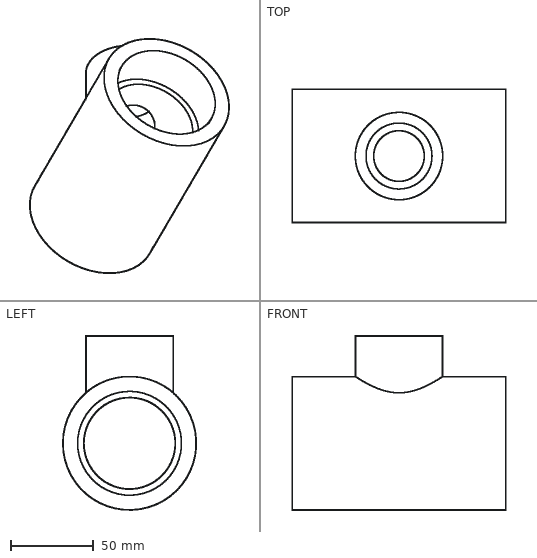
import cadquery as cq

run_length = 129.5
run_outer_diameter = 81.0
run_socket_diameter = 63.0
run_bore_diameter = 55.3
run_socket_depth = 29.0

overall_height = 105.5
branch_outer_diameter = 53.0
branch_socket_diameter = 40.0
branch_bore_diameter = 30.7
branch_socket_depth = 22.0
branch_top = overall_height - run_outer_diameter / 2


def run_cylinder(diameter, start_x, length):
    """Solid cylinder on the run axis, extending toward +X from start_x."""
    return cq.Workplane("YZ", origin=(start_x, 0, 0)).circle(diameter / 2).extrude(length)


def branch_cylinder(diameter, depth):
    """Solid cylinder on the branch axis, reaching down from the branch mouth."""
    return cq.Workplane("XY", origin=(0, 0, branch_top)).circle(diameter / 2).extrude(-depth)


run_start = -run_length / 2
run_end = run_length / 2
body = run_cylinder(run_outer_diameter, run_start, run_length)
body = body.union(branch_cylinder(branch_outer_diameter, branch_top))

body = body.cut(run_cylinder(run_bore_diameter, run_start, run_length))
for socket_start in (run_start, run_end - run_socket_depth):
    body = body.cut(run_cylinder(run_socket_diameter, socket_start, run_socket_depth))

body = body.cut(branch_cylinder(branch_bore_diameter, branch_top))
result = body.cut(branch_cylinder(branch_socket_diameter, branch_socket_depth))